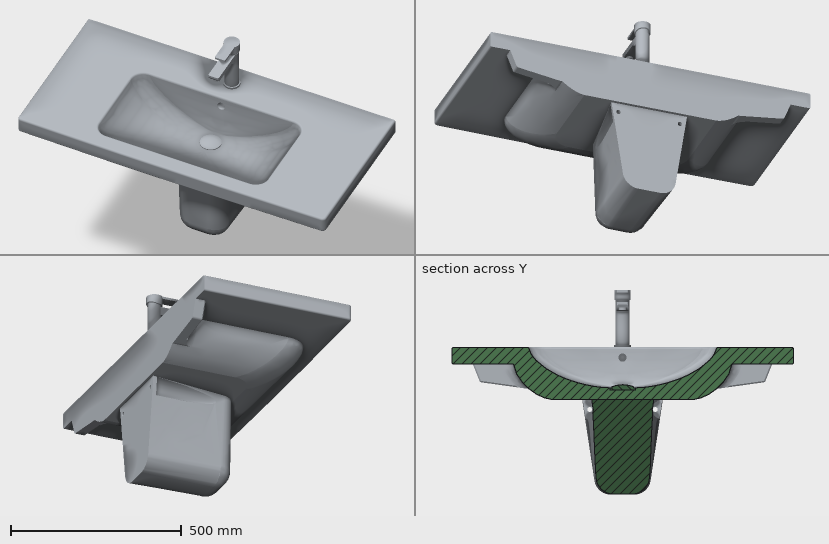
import cadquery as cq
import math


DECK_WIDTH = 1000.0
DECK_REACH = 480.0
DECK_THICKNESS = 50.0
DECK_CORNER = 12.0
DECK_FRONT_BOW = 4.0
DECK_TOP_ROUND = 6.0
DECK_BOTTOM_ROUND = 5.0

RIM_HALF_WIDTH = 274.0
RIM_NEAR = 136.0
RIM_FAR = 428.0
RIM_CORNER = 40.0
RIM_ROUND = 6.0
BOWL_DEPTH = 118.0
BOWL_CURVE = 1.7
BOWL_BULGE = 40.0
BOWL_SECTIONS = 7
BOWL_FLOOR_MARGIN = 3.0

SHELL_BOTTOM = 154.0
SHELL_HALF_WIDTH = 320.0
SHELL_REACH = 427.0
SHELL_CORNER = 74.0
SHELL_FLAT_HALF_WIDTH = 206.0
SHELL_FLAT_REACH = 292.0
SHELL_FLAT_CORNER = 60.0
SHELL_SECTIONS = 6
SHELL_CURVE = 1.6

WING_REACH = 34.0
WING_TOP_HALF_WIDTH = 438.0
WING_TIP_HALF_WIDTH = 417.0
WING_TIP_DEPTH = 103.0
WING_ROOT_HALF_WIDTH = 280.0
WING_ROOT_DEPTH = 122.0
WING_TIP_ROUND = 8.0
WING_EDGE_CHAMFER = 4.0
WING_ROOT_BLEND = 28.0

OVERFLOW_DIAMETER = 24.0
OVERFLOW_DEPTH = 31.0
OVERFLOW_END_REACH = 110.0

DRAIN_REACH = 209.0
DRAIN_RADIUS = 37.0
DRAIN_FLANGE_HEIGHT = 6.0
DRAIN_CAP_RADIUS = 32.0
DRAIN_CAP_RIM = 3.0
DRAIN_CAP_CROWN = 6.0

PEDESTAL_BOTTOM = 432.0
PEDESTAL_FRONT_RISE = 3.0
PEDESTAL_NEAR = 10.0
PEDESTAL_FAR = 292.0
PEDESTAL_TOP_BACK_HALF_WIDTH = 118.0
PEDESTAL_TOP_FRONT_HALF_WIDTH = 79.0
PEDESTAL_BOTTOM_HALF_WIDTH = 76.0
PEDESTAL_CORNER = 48.0
PEDESTAL_BOTTOM_ROUND = 49.0
SCOOP_RADIUS = 29.0
SCOOP_FLOOR_X = 87.0
SCOOP_DEPTH = 183.0
SCOOP_NEAR = 23.0
SCREW_HOLE_DIAMETER = 14.0
SCREW_HOLE_X = 96.0

TAP_REACH = 67.0
TAP_TOP = 166.0
FLANGE_RADIUS = 25.0
FLANGE_HEIGHT = 6.0
BODY_RADIUS = 21.0
BODY_TOP = 131.0
NECK_RADIUS = 20.0
SPOUT_HALF_WIDTH = 17.0
SPOUT_THICKNESS = 16.0
SPOUT_REACH = 192.0
SPOUT_TIP_HEIGHT = 7.0
SPOUT_TIP_SLOPE = 6.0
SPOUT_TIP_CORNER = 5.0
SPOUT_BLEND = 10.0
HEAD_RADIUS = 24.0
HEAD_BOTTOM = 137.0
HEAD_BACK_RISE = 8.0
LEVER_HALF_WIDTH = 17.0
LEVER_THICKNESS = 7.0
LEVER_REACH = 148.0
LEVER_TIP_CORNER = 4.0
AERATOR_RADIUS = 11.0
AERATOR_REACH = 175.0
AERATOR_BOTTOM = 108.0
AERATOR_SEAT = 3.0


def blend(start, end, fraction):
    return start + (end - start) * fraction


def make_deck():
    half_width = DECK_WIDTH / 2
    side_reach = DECK_REACH - DECK_FRONT_BOW
    deck = (
        cq.Workplane("XY", origin=(0, 0, -DECK_THICKNESS))
        .moveTo(-half_width, 0)
        .lineTo(-half_width, -side_reach)
        .threePointArc((0, -DECK_REACH), (half_width, -side_reach))
        .lineTo(half_width, 0)
        .close()
        .extrude(DECK_THICKNESS)
    )
    deck = deck.edges("|Z").edges("<Y").fillet(DECK_CORNER)
    deck = deck.faces(">Z").edges("not >Y").fillet(DECK_TOP_ROUND)
    return deck.faces("<Z").edges("not >Y").fillet(DECK_BOTTOM_ROUND)


def quarter_turns(count):
    """Angles that split a quarter turn into equal steps, both ends included."""
    return [math.pi / 2 * i / count for i in range(count + 1)]


def wall_curve(turn, exponent):
    """Inset and sink, both from 0 to 1, along a wall that turns from upright to flat."""
    inset = 1 - math.cos(turn) ** (2 / exponent)
    sink = math.sin(turn) ** (2 / exponent)
    return inset, sink


def shell_section(turn):
    """Section of the bowl outside; turn goes from 0 (under the deck) to 90 degrees (flat bottom)."""
    inset, sink = wall_curve(turn, SHELL_CURVE)
    half_width = blend(SHELL_HALF_WIDTH, SHELL_FLAT_HALF_WIDTH, inset)
    far = blend(SHELL_REACH, SHELL_FLAT_REACH, inset)
    corner = blend(SHELL_CORNER, SHELL_FLAT_CORNER, inset)
    depth = blend(DECK_THICKNESS, SHELL_BOTTOM, sink)
    return (
        cq.Workplane("XY", origin=(0, 0, -depth))
        .moveTo(half_width, 0)
        .lineTo(half_width, corner - far)
        .radiusArc((half_width - corner, -far), corner)
        .lineTo(corner - half_width, -far)
        .radiusArc((-half_width, corner - far), corner)
        .lineTo(-half_width, 0)
        .close()
        .val()
    )


def make_shell():
    sections = [shell_section(turn) for turn in quarter_turns(SHELL_SECTIONS)]
    return cq.Workplane(cq.Solid.makeLoft(sections))


def make_wing_plate(thickness):
    """Plate across the back of the bowl, from one wing tip to the other."""
    plate = (
        cq.Workplane("XZ")
        .moveTo(-WING_TOP_HALF_WIDTH, -DECK_THICKNESS)
        .lineTo(-WING_TIP_HALF_WIDTH, -WING_TIP_DEPTH)
        .lineTo(-WING_ROOT_HALF_WIDTH, -WING_ROOT_DEPTH)
        .lineTo(WING_ROOT_HALF_WIDTH, -WING_ROOT_DEPTH)
        .lineTo(WING_TIP_HALF_WIDTH, -WING_TIP_DEPTH)
        .lineTo(WING_TOP_HALF_WIDTH, -DECK_THICKNESS)
        .close()
        .extrude(thickness)
    )
    for side in (-1, 1):
        tip = cq.NearestToPointSelector((side * WING_TIP_HALF_WIDTH, -thickness / 2, -WING_TIP_DEPTH))
        plate = plate.edges(tip).fillet(WING_TIP_ROUND)
    return plate


def make_wings():
    return make_wing_plate(WING_REACH).faces("<Y").edges("not >Z").chamfer(WING_EDGE_CHAMFER)


def flare_section(turn):
    """Bowl back section whose sides swell out in concave arcs to meet the wing fronts."""
    inset, sink = wall_curve(turn, SHELL_CURVE)
    half_width = blend(SHELL_HALF_WIDTH, SHELL_FLAT_HALF_WIDTH, inset)
    depth = blend(DECK_THICKNESS, SHELL_BOTTOM, sink)
    flare = half_width + WING_ROOT_BLEND
    front = -WING_REACH - WING_ROOT_BLEND
    return (
        cq.Workplane("XY", origin=(0, 0, -depth))
        .moveTo(-flare, -WING_EDGE_CHAMFER)
        .lineTo(flare, -WING_EDGE_CHAMFER)
        .lineTo(flare, -WING_REACH)
        .radiusArc((half_width, front), -WING_ROOT_BLEND)
        .lineTo(-half_width, front)
        .radiusArc((-flare, -WING_REACH), -WING_ROOT_BLEND)
        .close()
        .val()
    )


def make_wing_root_blends():
    """Fillets between the wing fronts and the bowl sides, no deeper than the wings."""
    sections = [flare_section(turn) for turn in quarter_turns(SHELL_SECTIONS)]
    flared = cq.Workplane(cq.Solid.makeLoft(sections))
    return flared.intersect(make_wing_plate(WING_REACH + 2 * WING_ROOT_BLEND))


def bowl_section(turn):
    """Section of the bowl inside; turn goes from 0 (rim) to 90 degrees (floor)."""
    inset, sink = wall_curve(turn, BOWL_CURVE)
    floor_half = DRAIN_RADIUS + BOWL_FLOOR_MARGIN
    half_width = blend(RIM_HALF_WIDTH, floor_half, inset)
    near = blend(RIM_NEAR, DRAIN_REACH - floor_half, inset)
    far = blend(RIM_FAR, DRAIN_REACH + floor_half, inset)
    corner = blend(RIM_CORNER, DRAIN_RADIUS, inset) + BOWL_BULGE * inset * (1 - inset)
    x = half_width - corner
    return (
        cq.Workplane("XY", origin=(0, 0, -BOWL_DEPTH * sink))
        .moveTo(-x, -near)
        .lineTo(x, -near)
        .radiusArc((half_width, -near - corner), corner)
        .lineTo(half_width, corner - far)
        .radiusArc((x, -far), corner)
        .lineTo(-x, -far)
        .radiusArc((-half_width, corner - far), corner)
        .lineTo(-half_width, -near - corner)
        .radiusArc((-x, -near), corner)
        .close()
        .val()
    )


def make_bowl_cavity():
    sections = [bowl_section(turn) for turn in quarter_turns(BOWL_SECTIONS)]
    return cq.Workplane(cq.Solid.makeLoft(sections))


def make_overflow_hole():
    return (
        cq.Workplane("XZ", origin=(0, -OVERFLOW_END_REACH, -OVERFLOW_DEPTH))
        .circle(OVERFLOW_DIAMETER / 2)
        .extrude(DRAIN_REACH - OVERFLOW_END_REACH)
    )


def make_drain_seat():
    return (
        cq.Workplane("XY", origin=(0, -DRAIN_REACH, -BOWL_DEPTH - DRAIN_FLANGE_HEIGHT))
        .circle(DRAIN_RADIUS)
        .extrude(2 * DRAIN_FLANGE_HEIGHT)
    )


def make_basin():
    basin = make_deck().union(make_shell()).union(make_wing_root_blends()).union(make_wings())
    basin = basin.cut(make_bowl_cavity())
    rim = cq.selectors.BoxSelector(
        (-RIM_HALF_WIDTH - RIM_ROUND, -RIM_FAR - RIM_ROUND, -RIM_ROUND / 2),
        (RIM_HALF_WIDTH + RIM_ROUND, -RIM_NEAR + RIM_ROUND, RIM_ROUND / 2),
    )
    basin = basin.edges(rim).fillet(RIM_ROUND)
    return basin.cut(make_overflow_hole()).cut(make_drain_seat())


def make_drain():
    """Flange sunk flush into the bowl floor, carrying a slightly domed cap."""
    cap_edge = DRAIN_FLANGE_HEIGHT + DRAIN_CAP_RIM
    dome_radius = (DRAIN_CAP_RADIUS**2 + DRAIN_CAP_CROWN**2) / (2 * DRAIN_CAP_CROWN)
    profile = (
        cq.Workplane("XZ")
        .lineTo(DRAIN_RADIUS, 0)
        .lineTo(DRAIN_RADIUS, DRAIN_FLANGE_HEIGHT)
        .lineTo(DRAIN_CAP_RADIUS, DRAIN_FLANGE_HEIGHT)
        .lineTo(DRAIN_CAP_RADIUS, cap_edge)
        .radiusArc((0, cap_edge + DRAIN_CAP_CROWN), -dome_radius)
        .close()
    )
    drain = profile.revolve(360, (0, 0, 0), (0, 1, 0))
    return drain.translate((0, -DRAIN_REACH, -BOWL_DEPTH - DRAIN_FLANGE_HEIGHT))


def pedestal_section(back_half_width, front_half_width, depth, front_rise):
    """Trapezoid between the pedestal's back and front, its front edge raised by front_rise."""
    return cq.Wire.makePolygon(
        [
            cq.Vector(-back_half_width, -PEDESTAL_NEAR, -depth),
            cq.Vector(back_half_width, -PEDESTAL_NEAR, -depth),
            cq.Vector(front_half_width, -PEDESTAL_FAR, front_rise - depth),
            cq.Vector(-front_half_width, -PEDESTAL_FAR, front_rise - depth),
        ],
        close=True,
    )


def make_pedestal():
    top = pedestal_section(PEDESTAL_TOP_BACK_HALF_WIDTH, PEDESTAL_TOP_FRONT_HALF_WIDTH, SHELL_BOTTOM, 0)
    bottom = pedestal_section(
        PEDESTAL_BOTTOM_HALF_WIDTH, PEDESTAL_BOTTOM_HALF_WIDTH, PEDESTAL_BOTTOM, PEDESTAL_FRONT_RISE
    )
    pedestal = cq.Workplane(cq.Solid.makeLoft([top, bottom], True))
    middle = -(SHELL_BOTTOM + PEDESTAL_BOTTOM) / 2
    for side in (-1, 1):
        corner = cq.NearestToPointSelector((side * PEDESTAL_BOTTOM_HALF_WIDTH, -PEDESTAL_FAR, middle))
        pedestal = pedestal.edges(corner).fillet(PEDESTAL_CORNER)
    pedestal = pedestal.faces("<Z").edges("not >Y").fillet(PEDESTAL_BOTTOM_ROUND)
    for side in (-1, 1):
        pedestal = pedestal.cut(make_side_scoop(side)).cut(make_screw_hole(side))
    return pedestal


def make_side_scoop(side):
    """Round groove in a pedestal side that runs out where the side tapers inwards."""
    return (
        cq.Workplane("XZ", origin=(side * (SCOOP_FLOOR_X + SCOOP_RADIUS), -SCOOP_NEAR, -SCOOP_DEPTH))
        .circle(SCOOP_RADIUS)
        .extrude(PEDESTAL_FAR)
    )


def make_screw_hole(side):
    """Hole through the plate left behind a scoop."""
    return (
        cq.Workplane("XZ", origin=(side * SCREW_HOLE_X, 0, -SCOOP_DEPTH))
        .circle(SCREW_HOLE_DIAMETER / 2)
        .extrude(SCOOP_NEAR + SCREW_HOLE_DIAMETER)
    )


def tap_cylinder(radius, bottom, top):
    return cq.Workplane("XY", origin=(0, -TAP_REACH, bottom)).circle(radius).extrude(top - bottom)


def make_spout():
    """Flat arm from the tap axis to a tip whose end slopes back underneath."""
    bottom = BODY_TOP - SPOUT_THICKNESS
    spout = (
        cq.Workplane("YZ", origin=(-SPOUT_HALF_WIDTH, 0, 0))
        .moveTo(-TAP_REACH, bottom)
        .lineTo(-TAP_REACH, BODY_TOP)
        .lineTo(-SPOUT_REACH, BODY_TOP)
        .lineTo(-SPOUT_REACH, BODY_TOP - SPOUT_TIP_HEIGHT)
        .lineTo(SPOUT_TIP_SLOPE - SPOUT_REACH, bottom)
        .close()
        .extrude(2 * SPOUT_HALF_WIDTH)
    )
    plan = (
        cq.Workplane("XY")
        .rect(2 * SPOUT_HALF_WIDTH, 2 * SPOUT_REACH)
        .extrude(BODY_TOP)
        .edges("|Z")
        .fillet(SPOUT_TIP_CORNER)
    )
    return spout.intersect(plan)


def make_spout_blend():
    """Concave fillet under the spout where it leaves the body."""
    bottom = BODY_TOP - SPOUT_THICKNESS
    front = -TAP_REACH - BODY_RADIUS
    return (
        cq.Workplane("YZ", origin=(-SPOUT_HALF_WIDTH, 0, 0))
        .moveTo(-TAP_REACH, bottom)
        .lineTo(front - SPOUT_BLEND, bottom)
        .radiusArc((front, bottom - SPOUT_BLEND), -SPOUT_BLEND)
        .lineTo(-TAP_REACH, bottom - SPOUT_BLEND)
        .close()
        .extrude(2 * SPOUT_HALF_WIDTH)
    )


def make_aerator():
    top = BODY_TOP - SPOUT_THICKNESS + AERATOR_SEAT
    return (
        cq.Workplane("XY", origin=(0, -AERATOR_REACH, AERATOR_BOTTOM))
        .circle(AERATOR_RADIUS)
        .extrude(top - AERATOR_BOTTOM)
    )


def make_neck_wedge():
    """Wedge under the back half of the lever head, where the head's underside slopes up."""
    back = HEAD_RADIUS - TAP_REACH
    return (
        cq.Workplane("YZ", origin=(-HEAD_RADIUS, 0, 0))
        .moveTo(-TAP_REACH, HEAD_BOTTOM)
        .lineTo(back, HEAD_BOTTOM)
        .lineTo(back, HEAD_BOTTOM + HEAD_BACK_RISE)
        .close()
        .extrude(2 * HEAD_RADIUS)
    )


def make_tap_body():
    body = (
        tap_cylinder(FLANGE_RADIUS, 0, FLANGE_HEIGHT)
        .union(tap_cylinder(BODY_RADIUS, FLANGE_HEIGHT, BODY_TOP))
        .union(tap_cylinder(NECK_RADIUS, BODY_TOP, HEAD_BOTTOM))
    )
    body = body.union(make_spout()).union(make_spout_blend())
    body = body.union(tap_cylinder(NECK_RADIUS, BODY_TOP, TAP_TOP).intersect(make_neck_wedge()))
    return body.cut(make_aerator())


def make_lever():
    """Cap on the neck with a thin flat handle flush with its top."""
    head = tap_cylinder(HEAD_RADIUS, HEAD_BOTTOM, TAP_TOP)
    handle = (
        cq.Workplane("XY", origin=(0, 0, TAP_TOP - LEVER_THICKNESS))
        .moveTo(-LEVER_HALF_WIDTH, -TAP_REACH)
        .lineTo(LEVER_HALF_WIDTH, -TAP_REACH)
        .lineTo(LEVER_HALF_WIDTH, -LEVER_REACH)
        .lineTo(-LEVER_HALF_WIDTH, -LEVER_REACH)
        .close()
        .extrude(LEVER_THICKNESS)
    )
    handle = handle.edges("|Z").edges("<Y").fillet(LEVER_TIP_CORNER)
    return head.union(handle).cut(make_neck_wedge())


basin = make_basin()
drain = make_drain()
pedestal = make_pedestal()
tap_body = make_tap_body()
aerator = make_aerator()
lever = make_lever()

result = cq.Compound.makeCompound(
    [
        basin.val(),
        drain.val(),
        pedestal.val(),
        tap_body.val(),
        aerator.val(),
        lever.val(),
    ]
)